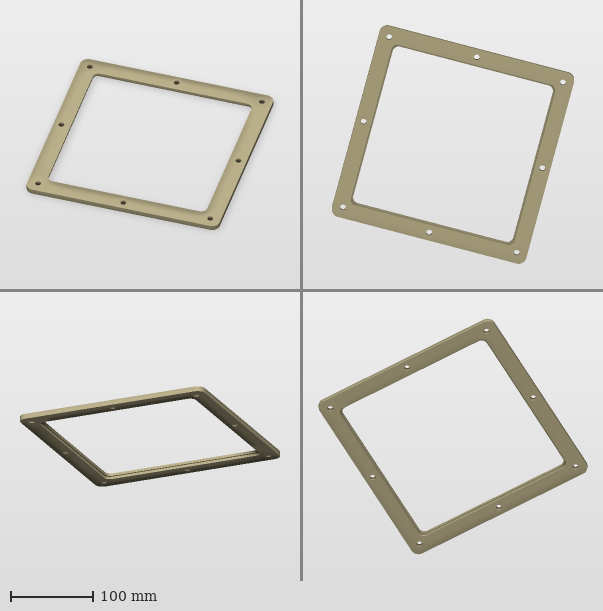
import cadquery as cq

outer_side = 244.5
outer_corner_radius = 9.5

total_thickness = 6.4
plate_thickness = total_thickness / 2

upper_rim_width = 21.5
lower_rim_width = 19.3
opening_corner_radius = 7.5

hole_diameter = 7.0
corner_hole_offset = 109.3
side_hole_offset = 112.5


def rounded_square(side, corner_radius):
    """Upright square prism, one plate thick, with rounded corners."""
    prism = cq.Workplane("XY").rect(side, side).extrude(plate_thickness)
    return prism.edges("|Z").fillet(corner_radius)


def bolt_holes():
    """Cylinders that cut all the bolt holes of one plate."""
    corner_points = [(x * corner_hole_offset, y * corner_hole_offset) for x in (-1, 1) for y in (-1, 1)]
    side_points = [
        (-side_hole_offset, 0),
        (side_hole_offset, 0),
        (0, -side_hole_offset),
        (0, side_hole_offset),
    ]
    centres = cq.Workplane("XY").pushPoints(corner_points + side_points)
    return centres.circle(hole_diameter / 2).extrude(plate_thickness)


def frame_plate(rim_width, base_height):
    """Square frame plate whose lower face lies at base_height."""
    opening_side = outer_side - 2 * rim_width
    plate = rounded_square(outer_side, outer_corner_radius)
    plate = plate.cut(rounded_square(opening_side, opening_corner_radius))
    plate = plate.cut(bolt_holes())
    return plate.translate((0, 0, base_height))


lower_plate = frame_plate(lower_rim_width, -plate_thickness)
upper_plate = frame_plate(upper_rim_width, 0)

result = cq.Compound.makeCompound([lower_plate.solids().val(), upper_plate.solids().val()])